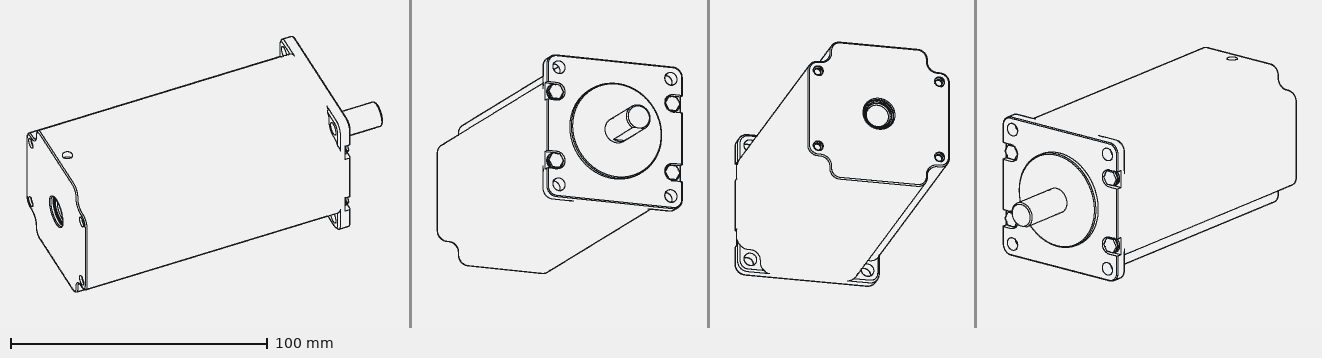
import cadquery as cq

side = 57.0
half_side = side / 2
corner_radius = 4.0

total_length = 137.0
motor_length = 112.8
flange_thickness = 5.2
flange_back = motor_length - flange_thickness
rear_chamfer = 0.5
flange_front_chamfer = 0.4
flange_back_chamfer = 0.8

mount_offset = 23.5
mount_diameter = 5.1
channel_wall = mount_offset - corner_radius
shoulder_center = channel_wall - corner_radius

pilot_diameter = 38.1
pilot_height = 1.9
pilot_chamfer = 0.4
shaft_diameter = 10.0
shaft_chamfer = 0.5
flat_height = 4.4
flat_length = 20.0

screw_x = 24.4
screw_z = shoulder_center
screw_head_diameter = 4.0
screw_head_depth = 1.0
screw_diameter = 2.7
screw_depth = 2.0

bore_diameter = 12.0
bore_chamfer = 0.4
bore_depth = 1.4
bore_step_diameter = 11.0
bore_step_depth = 1.8
bore_bottom_diameter = 10.0
bore_bottom_depth = 2.5
bore_bottom_chamfer = 0.5

top_hole_diameter = 4.0
top_hole_y = 4.8
top_hole_depth = 2.7

head_x = 24.5
head_z = 13.8
head_recess = 0.4
head_height = 1.1
head_across_corners = 6.3
washer_diameter = 6.6
pocket_width = 7.0
pocket_depth = 2.3


def four_corners(x, z):
    return [(sign_x * x, sign_z * z) for sign_x in (-1, 1) for sign_z in (-1, 1)]


def section_at(y):
    """Workplane across the axis at the given Y; positive extrusion goes towards -Y."""
    return cq.Workplane("XZ", origin=(0, y, 0))


def make_flange():
    flange = section_at(motor_length).rect(side, side).extrude(flange_thickness)
    flange = flange.edges("|Y").fillet(corner_radius)
    flange = flange.faces(">Y").chamfer(flange_front_chamfer)
    return flange.faces("<Y").chamfer(flange_back_chamfer)


def make_body():
    """Square column with a channel of S-shaped section along each corner."""
    length = flange_back + flange_back_chamfer
    channel_size = 2 * (half_side - channel_wall)
    column = section_at(length).rect(side, side).extrude(length)
    channels = (
        section_at(length)
        .pushPoints(four_corners(half_side, half_side))
        .rect(channel_size, channel_size)
        .extrude(length)
    )
    body = column.cut(channels).edges("|Y").fillet(corner_radius)
    return body.faces("<Y").chamfer(rear_chamfer)


def make_pilot():
    front = motor_length + pilot_height
    pilot = section_at(front).circle(pilot_diameter / 2).extrude(pilot_height)
    return pilot.faces(">Y").chamfer(pilot_chamfer)


def make_shaft():
    """Round shaft with a flat on its lower side, starting at the tip."""
    shaft = section_at(total_length).circle(shaft_diameter / 2).extrude(total_length - motor_length)
    shaft = shaft.faces(">Y").chamfer(shaft_chamfer)
    below_flat = (
        section_at(total_length)
        .center(0, -flat_height - shaft_diameter / 2)
        .rect(shaft_diameter, shaft_diameter)
        .extrude(flat_length)
    )
    return shaft.cut(below_flat)


def rear_drill(diameter, depth, points=((0, 0),)):
    return section_at(0).pushPoints(points).circle(diameter / 2).extrude(-depth)


def rear_screw_recesses():
    points = four_corners(screw_x, screw_z)
    heads = rear_drill(screw_head_diameter, screw_head_depth, points)
    return heads.union(rear_drill(screw_diameter, screw_depth, points))


def rear_bore():
    mouth = (
        section_at(0)
        .circle(bore_diameter / 2 + bore_chamfer)
        .workplane(offset=-bore_chamfer)
        .circle(bore_diameter / 2)
        .loft(ruled=True)
    )
    bottom = rear_drill(bore_bottom_diameter, bore_bottom_depth)
    bottom = bottom.faces(">Y").chamfer(bore_bottom_chamfer)
    bore = mouth.union(rear_drill(bore_diameter, bore_depth))
    bore = bore.union(rear_drill(bore_step_diameter, bore_step_depth))
    return bore.union(bottom)


def mounting_holes():
    return (
        section_at(motor_length)
        .pushPoints(four_corners(mount_offset, mount_offset))
        .circle(mount_diameter / 2)
        .extrude(flange_thickness)
    )


def top_hole():
    face = cq.Workplane("XY", origin=(0, top_hole_y, half_side))
    return face.circle(top_hole_diameter / 2).extrude(-top_hole_depth)


def front_pockets():
    """Round-ended pockets, less the washers and hexagon heads that stand in them."""
    points = four_corners(head_x, head_z)
    round_ends = section_at(motor_length).pushPoints(points).circle(pocket_width / 2).extrude(pocket_depth)
    openings = (
        section_at(motor_length)
        .pushPoints(four_corners(half_side, head_z))
        .rect(2 * (half_side - head_x), pocket_width)
        .extrude(pocket_depth)
    )
    head_top = section_at(motor_length - head_recess).pushPoints(points)
    heads = head_top.polygon(6, head_across_corners).extrude(head_height)
    washer_depth = head_recess + head_height
    washer_top = section_at(motor_length - washer_depth).pushPoints(points)
    washers = washer_top.circle(washer_diameter / 2).extrude(pocket_depth - washer_depth)
    return round_ends.union(openings).cut(heads).cut(washers)


result = make_flange().union(make_body()).union(make_pilot()).union(make_shaft())
result = result.cut(mounting_holes()).cut(top_hole())
result = result.cut(rear_screw_recesses()).cut(rear_bore())
result = result.cut(front_pockets())